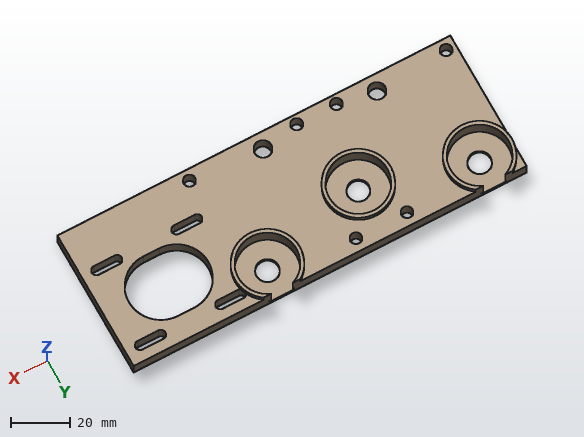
import cadquery as cq

length = 151.6
width = 54.0
total_height = 8.3
rim_height = 2.1
plate_thickness = total_height - rim_height

rim_diameter = 25.0
pocket_diameter = 22.3
floor_thickness = 1.5
seat_pitch = 41.0
first_seat_x = rim_diameter / 2
middle_seat_x = first_seat_x + seat_pitch
last_seat_x = middle_seat_x + seat_pitch
outer_seat_y = 43.7
middle_seat_y = 32.9
outer_shaft_diameter = 8.3
middle_shaft_diameter = 8.0
outer_seats = [(first_seat_x, outer_seat_y), (last_seat_x, outer_seat_y)]
middle_seat = (middle_seat_x, middle_seat_y)

back_hole_diameter = 4.2
back_hole_spacing = 19.7
back_hole_y = 49.3

end_hole_diameter = 4.4
end_hole_left_x = 3.8
end_hole_right_x = 102.8
end_hole_y = 4.0
large_hole_diameter = 6.4
large_hole_spacing = 44.0
inner_hole_spacing = 15.3
large_hole_y = 5.8
inner_hole_diameter = 4.4
inner_hole_y = 3.3

motor_x = 126.6
motor_y = middle_seat_y
window_length = 30.6
window_width = 24.5
slot_length = 11.5
slot_width = 3.5
slot_spacing = 31.0


def pair(center_x, spacing, y):
    """Two points at the same y, evenly placed about center_x."""
    return [(center_x - spacing / 2, y), (center_x + spacing / 2, y)]


def cylinders(points, diameter, bottom, top):
    """Upright cylinders between two heights."""
    base = cq.Workplane("XY").workplane(offset=bottom)
    return base.pushPoints(points).circle(diameter / 2).extrude(top - bottom)


def drill(body, points, diameter):
    """Holes through the full height."""
    return body.cut(cylinders(points, diameter, 0, total_height))


def cut_motor_mount(body):
    """Window and slots through the plate."""
    base = cq.Workplane("XY").center(motor_x, motor_y)
    window = base.slot2D(window_length, window_width).extrude(plate_thickness)
    slots = (
        base.rarray(slot_spacing, slot_spacing, 2, 2)
        .slot2D(slot_length, slot_width)
        .extrude(plate_thickness)
    )
    return body.cut(window).cut(slots)


def add_bearing_seats(body):
    """Rims and pockets; the back edge of the plate trims the outer two."""
    seats = outer_seats + [middle_seat]
    envelope = cq.Workplane("XY").box(length, width, total_height, centered=False)
    rims = cylinders(seats, rim_diameter, plate_thickness, total_height)
    pockets = cylinders(seats, pocket_diameter, floor_thickness, total_height)
    return body.union(rims.intersect(envelope)).cut(pockets)


plate = cq.Workplane("XY").box(length, width, plate_thickness, centered=False)
plate = cut_motor_mount(plate)
plate = add_bearing_seats(plate)

end_holes = [(end_hole_left_x, end_hole_y), (end_hole_right_x, end_hole_y)]
hole_groups = [
    (outer_seats, outer_shaft_diameter),
    ([middle_seat], middle_shaft_diameter),
    (pair(middle_seat_x, back_hole_spacing, back_hole_y), back_hole_diameter),
    (pair(middle_seat_x, large_hole_spacing, large_hole_y), large_hole_diameter),
    (pair(middle_seat_x, inner_hole_spacing, inner_hole_y), inner_hole_diameter),
    (end_holes, end_hole_diameter),
]
for points, diameter in hole_groups:
    plate = drill(plate, points, diameter)

result = plate